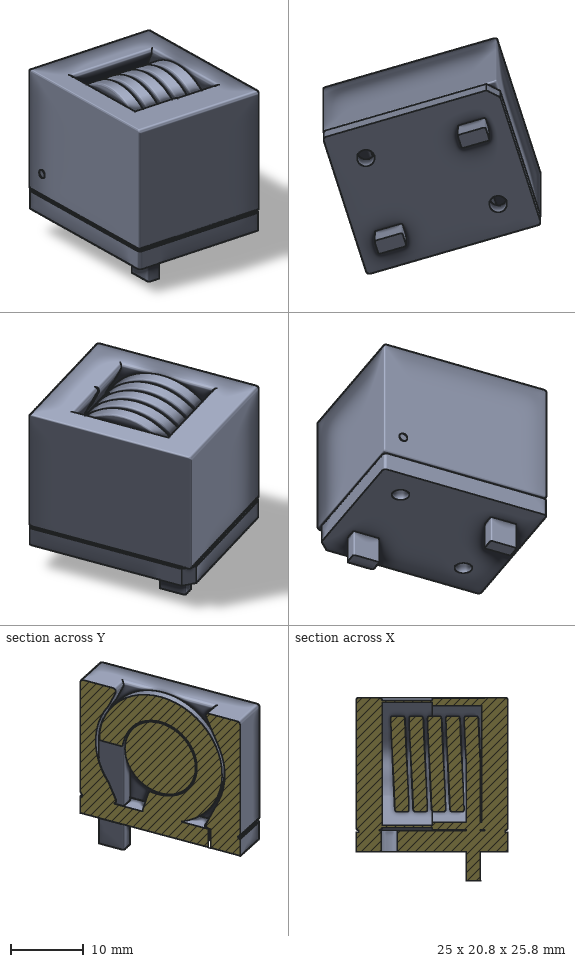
import cadquery as cq
import math

LENGTH_X = 25.0
WIDTH_Y = 20.8
BASE_THICKNESS = 2.7
NECK_HEIGHT = 0.25
CORE_HEIGHT = 18.2

BASE_CORNER_RADIUS = 0.5
KEY_CHAMFER = 1.5
NECK_INSET = 0.3
BASE_HOLE_DIAMETER = 2.4
BASE_HOLE_Y = 5.85

CORE_EDGE_RADIUS = 0.25
CORE_END_EDGE_RADIUS = 0.5
CENTRE_LEG_DIAMETER = 11.1
CAVITY_RADIUS = 10.05
WALL_TOP_X = 6.8
STEPPED_WALL_TOP_X = 6.6
STEPPED_WALL_FOOT_ANGLE = 37.0
WINDING_SPACE_Y = 13.6
WINDOW_LIP_RADIUS = 0.5

WIRE_RADIAL = 4.0
WIRE_AXIAL = 2.0
WIRE_EDGE_RADIUS = 0.25
COIL_OUTER_RADIUS = 9.7
COIL_PITCH = 2.52
COIL_TURNS = 4.5
LEAD_LENGTH_BELOW_BASE = 4.0

DOT_DIAMETER = 1.2
DOT_DEPTH = 0.1
DOT_X = -9.5
DOT_Z = 6.25

CORE_BOTTOM = BASE_THICKNESS + NECK_HEIGHT
AXIS_Z = CORE_BOTTOM + CORE_HEIGHT / 2
COIL_MEAN_RADIUS = COIL_OUTER_RADIUS - WIRE_RADIAL / 2
COIL_LENGTH = COIL_PITCH * COIL_TURNS
LEAD_X = COIL_MEAN_RADIUS
LEAD_Y = COIL_LENGTH / 2


def make_base():
    """Base plate with one keyed corner and a narrower neck that carries the core."""
    plate = cq.Workplane("XY").box(LENGTH_X, WIDTH_Y, BASE_THICKNESS, centered=(True, True, False))
    plate = plate.edges("|Z and (>X or <Y)").fillet(BASE_CORNER_RADIUS)
    key_corner = cq.selectors.NearestToPointSelector((-LENGTH_X / 2, WIDTH_Y / 2, BASE_THICKNESS / 2))
    plate = plate.edges(key_corner).chamfer(KEY_CHAMFER)
    outline = plate.faces(">Z").wires().toPending().workplane()
    plate_with_neck = outline.offset2D(-NECK_INSET).extrude(NECK_HEIGHT)
    free_corners = [(LEAD_X, BASE_HOLE_Y), (-LEAD_X, -BASE_HOLE_Y)]
    holes = cq.Workplane("XY").pushPoints(free_corners).circle(BASE_HOLE_DIAMETER / 2).extrude(CORE_BOTTOM)
    return plate_with_neck.cut(holes)


def cylinder_along_y(radius, length):
    """Cylinder about the coil axis, centred on Y = 0."""
    plane = cq.Workplane("XZ", origin=(0, length / 2, AXIS_Z))
    return plane.circle(radius).extrude(length)


def winding_space(stepped):
    """Round winding space whose side walls run straight out to the long sides of the windows.

    The walls leave the round part tangentially, except for the +X walls of the stepped core half,
    which stand slightly further in.
    """
    half_height = CORE_HEIGHT / 2
    tangent_angle = math.atan2(half_height, WALL_TOP_X) - math.acos(
        CAVITY_RADIUS / math.hypot(half_height, WALL_TOP_X))
    foot_x = CAVITY_RADIUS * math.cos(tangent_angle)
    foot_z = CAVITY_RADIUS * math.sin(tangent_angle)
    left_top = (-WALL_TOP_X, half_height)
    left_foot = (-foot_x, foot_z)
    right_top = (WALL_TOP_X, half_height)
    right_foot = (foot_x, foot_z)
    if stepped:
        right_top = (STEPPED_WALL_TOP_X, half_height)
        foot_angle = math.radians(STEPPED_WALL_FOOT_ANGLE)
        right_foot = (CAVITY_RADIUS * math.cos(foot_angle), CAVITY_RADIUS * math.sin(foot_angle))

    upper = [left_foot, left_top, right_top, right_foot]
    lower = [(x, -z) for x, z in reversed(upper)]
    plane = cq.Workplane("XZ", origin=(0, WINDING_SPACE_Y / 2, AXIS_Z))
    walls = plane.polyline(upper + lower).close().extrude(WINDING_SPACE_Y)
    return walls.union(cylinder_along_y(CAVITY_RADIUS, WINDING_SPACE_Y))


def make_core_half(side):
    """Core half on the +Y (side = 1) or -Y (side = -1) side of the parting plane Y = 0."""
    block = cq.Workplane("XY", origin=(0, 0, AXIS_Z)).box(LENGTH_X, WIDTH_Y, CORE_HEIGHT)
    block = block.edges("|Y").fillet(CORE_END_EDGE_RADIUS)
    block = block.faces("<Y or >Y").edges().fillet(CORE_EDGE_RADIUS)
    block = block.cut(winding_space(stepped=side < 0))
    for end_face in (">Z", "<Z"):
        opening = block.faces(end_face).wires(cq.selectors.LengthNthSelector(0))
        block = opening.edges().fillet(WINDOW_LIP_RADIUS)

    half_space = cq.Workplane("XY", origin=(0, side * WIDTH_Y / 4, AXIS_Z)).box(
        LENGTH_X, WIDTH_Y / 2, CORE_HEIGHT)
    return block.intersect(half_space)


def make_core():
    """Two core halves around one winding space, open at top and bottom, with a round centre leg."""
    centre_leg = cylinder_along_y(CENTRE_LEG_DIAMETER / 2, WINDING_SPACE_Y)
    return make_core_half(1).union(make_core_half(-1)).union(centre_leg)


def wire_section():
    """Cross-section of the flat wire: radial size first, axial size second, with rounded edges."""
    return cq.Sketch().rect(WIRE_RADIAL, WIRE_AXIAL).vertices().fillet(WIRE_EDGE_RADIUS)


def make_coil():
    """Helical winding, running over the top from -X, +Y and ending at +X, -Y."""
    helix = cq.Wire.makeHelix(COIL_PITCH, COIL_LENGTH, COIL_MEAN_RADIUS, lefthand=True)
    section = cq.Workplane("XZ", origin=(COIL_MEAN_RADIUS, 0, 0)).placeSketch(wire_section())
    coil = section.sweep(cq.Workplane(obj=helix), isFrenet=True)
    return coil.rotate((0, 0, 0), (1, 0, 0), -90).translate((0, -COIL_LENGTH / 2, AXIS_Z))


def make_lead(x, y):
    """Straight wire end that runs from the coil axis level down through the base."""
    plane = cq.Workplane("XY", origin=(x, y, -LEAD_LENGTH_BELOW_BASE))
    return plane.placeSketch(wire_section()).extrude(LEAD_LENGTH_BELOW_BASE + AXIS_Z)


def make_dot():
    """Shallow round mark on the -Y face of the core."""
    plane = cq.Workplane("XZ", origin=(DOT_X, -WIDTH_Y / 2, DOT_Z))
    return plane.circle(DOT_DIAMETER / 2).extrude(-DOT_DEPTH)


result = make_core().cut(make_dot()).union(make_base()).union(make_coil())
for lead_x, lead_y in ((-LEAD_X, LEAD_Y), (LEAD_X, -LEAD_Y)):
    result = result.union(make_lead(lead_x, lead_y))